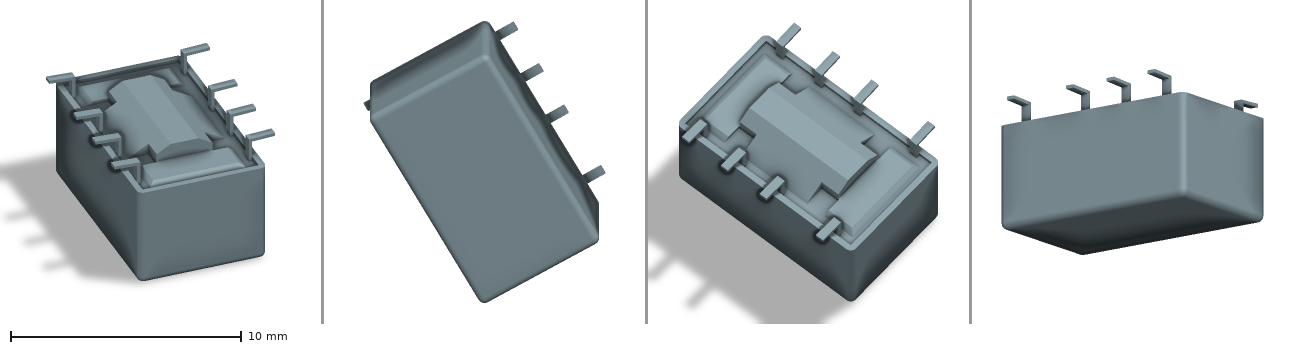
import cadquery as cq

case_length = 10.0
case_width = 6.0
case_height = 4.65
case_radius = 0.3

rim_width = 0.28
recess_depth = 0.19
floor_z = case_height - recess_depth

pad_outer_x = 4.48
pad_half_width = 2.28
pad_slope_x = 0.3
pad_slope_y = 0.27

hump_half_length = 2.81
hump_half_width = pad_half_width
hump_top_half_width = 0.65
hump_rise = 0.75
hump_top_z = case_height + hump_rise

notch_inner_x = 1.85
notch_outer_x = 2.85
notch_inner_y = 1.3

lead_positions = (-3.81, -0.6, 1.6, 3.81)
lead_width = 0.4
lead_thickness = 0.15
lead_inner_y = 2.54
lead_tip_y = 3.76
lead_rise = 1.0
lead_tip_z = case_height + lead_rise
foot_rise = 0.06


def make_case():
    """Box with rounded upright and bottom edges and a shallow recess in its top."""
    body = cq.Workplane("XY").box(case_length, case_width, case_height, centered=(True, True, False))
    body = body.edges("|Z").fillet(case_radius).faces("<Z").edges().fillet(case_radius)
    recess = (
        cq.Workplane("XY", origin=(0, 0, floor_z))
        .rect(case_length - 2 * rim_width, case_width - 2 * rim_width)
        .extrude(recess_depth)
    )
    return body.cut(recess)


def make_pads():
    """Both end pads: one low plate with sloping edges, cleared between the hump ends."""
    plate = (
        cq.Workplane("XY", origin=(0, 0, floor_z))
        .rect(2 * pad_outer_x, 2 * pad_half_width)
        .workplane(offset=recess_depth)
        .rect(2 * (pad_outer_x - pad_slope_x), 2 * (pad_half_width - pad_slope_y))
        .loft(ruled=True)
    )
    middle = (
        cq.Workplane("XY", origin=(0, 0, floor_z))
        .rect(2 * hump_half_length, 2 * pad_half_width)
        .extrude(recess_depth)
    )
    return plate.cut(middle)


def make_hump():
    """Trapezoid profile running along X."""
    profile = [
        (-hump_half_width, floor_z),
        (hump_half_width, floor_z),
        (hump_top_half_width, hump_top_z),
        (-hump_top_half_width, hump_top_z),
    ]
    return cq.Workplane("YZ").polyline(profile).close().extrude(hump_half_length, both=True)


def make_notches():
    """Four cutters reaching down to the recess floor at the hump corners."""
    notch_length = notch_outer_x - notch_inner_x
    notch_width = pad_half_width - notch_inner_y
    return (
        cq.Workplane("XY", origin=(0, 0, floor_z))
        .rect(notch_inner_x + notch_outer_x, notch_inner_y + pad_half_width, forConstruction=True)
        .vertices()
        .rect(notch_length, notch_width)
        .extrude(hump_top_z - floor_z)
    )


def make_lead(x_center, side):
    """Upright leg with a foot bent outward and slightly upward; side is +1 or -1 along Y."""
    leg_outer_y = lead_inner_y + lead_thickness
    foot_slope = foot_rise / (lead_tip_y - lead_inner_y)
    foot_bottom_z = lead_tip_z - lead_thickness
    profile = [
        (lead_inner_y, floor_z),
        (lead_inner_y, lead_tip_z - foot_rise),
        (lead_tip_y, lead_tip_z),
        (lead_tip_y, foot_bottom_z),
        (leg_outer_y, foot_bottom_z - foot_slope * (lead_tip_y - leg_outer_y)),
        (leg_outer_y, floor_z),
    ]
    return (
        cq.Workplane("YZ", origin=(x_center, 0, 0))
        .polyline([(side * y, z) for y, z in profile])
        .close()
        .extrude(lead_width / 2, both=True)
    )


raised_shape = make_hump().union(make_pads()).cut(make_notches())
result = make_case().union(raised_shape)
for lead_x in lead_positions:
    for lead_side in (-1, 1):
        result = result.union(make_lead(lead_x, lead_side))